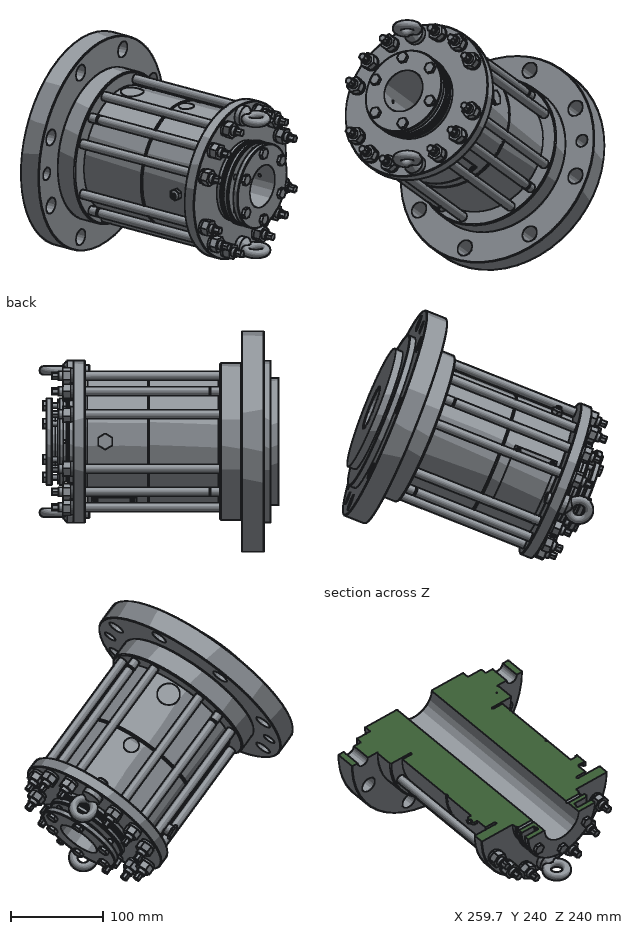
import cadquery as cq
import math


step_start = 8.3
flange_start = 15.5
hub_start = 40.0
hub_end = 63.5
barrel_start = 65.5
barrel_split = 140.2
barrel_end = 207.8
plate_start = 210.0
plate_end = 223.0
gland_foot_end = 227.2
gland_neck_start = 229.0
gland_neck_end = 231.0
seat_start = 234.0
seat_rim_end = 238.0
seat_end = 239.7
sleeve_step = 242.5
cover_start = 246.0
cover_end = 252.5

spigot_diameter = 138.2
step_diameter = 176.0
flange_diameter = 240.0
hub_diameter = 171.0
barrel_diameter = 141.3
barrel_neck_diameter = 114.3
split_groove_diameter = 138.7
split_groove_width = 2.0
plate_diameter = 176.5
gland_foot_diameter = 89.9
gland_body_diameter = 88.0
gland_neck_diameter = 86.2
seat_rim_diameter = 94.5
seat_diameter = 91.5
sleeve_diameter = 57.1
sleeve_end_diameter = 55.0
cover_diameter = 94.5
edge_chamfer = 0.8
hub_chamfer = 1.3

bore_diameter = 47.8
bore_chamfer = 1.0
flange_hole_circle = 209.5
flange_hole_diameter = 18.0
flange_hole_count = 8
jack_hole_diameter = 14.0
flush_hole_diameter = 3.0
flush_hole_x = 232.2

rod_circle = 154.5
rod_diameter = 10.0
rod_end = 239.5
rod_tip_length = 6.8
rod_tip_flats = 6.8
rod_chamfer = 0.8
joint_x = 73.5
joint_width = 1.8
joint_diameter = 9.0
washer_diameter = 16.0
washer_thickness = 2.9
nut_flats = 15.5
nut_height = 8.3
outer_rod_angle = 22.5
outer_nut_turn = -3.0
outer_tip_turn = -15.0
diagonal_rod_angle = 45.0
diagonal_nut_turn = 30.0
diagonal_tip_turn = 0.0

gland_bolt_circle = 78.0
gland_bolt_diameter = 6.0
gland_bolt_count = 6
gland_head_flats = 10.6
gland_head_height = 3.6

overall_length = 259.7
eye_pitch_diameter = 22.0
eye_bar_diameter = 9.5
eye_collar_diameter = 22.0
eye_collar_end = 229.3
eye_cone_end = 235.3
eye_stud_diameter = 12.0
eye_stud_start = 205.2

fitting_x = 188.3
plug_reach = 80.5
plug_head_flats = 15.0
plug_head_height = 2.5
plug_stem_diameter = 12.5
nipple_flats = 11.2
nipple_hex_reach = 74.8
nipple_reach = 78.7
nipple_tip_diameter = 6.0
nipple_cone_height = 2.0
nipple_bore_diameter = 3.0
nipple_bore_depth = 4.0
port_cover_height = 0.3
ports = [(80.5, 25.0), (152.0, 17.0)]

name_plate_start = 154.3
name_plate_end = 203.0
name_plate_width = 73.8
name_plate_thickness = 0.8
rivet_diameter = 5.0
rivet_bore_diameter = 2.5
rivet_height = 1.3
rivet_inset = 4.5
rivet_angle = 28.0


def cylinder(x_start, x_end, diameter, y=0.0, z=0.0):
    """Cylinder parallel to X."""
    plane = cq.Workplane("YZ", origin=(x_start, y, z))
    return plane.circle(diameter / 2).extrude(x_end - x_start)


def hexagon(plane, flats, height):
    """Hexagonal prism with one corner along the plane's local x."""
    return plane.polygon(6, flats / math.cos(math.pi / 6)).extrude(height)


def hexagon_along_x(x_start, height, flats, turn=0.0):
    """Hexagonal prism on the X axis, one corner turned from -Y toward +Z by the angle."""
    prism = hexagon(cq.Workplane("YZ", origin=(x_start, 0, 0)), flats, height)
    return prism.rotate((0, 0, 0), (1, 0, 0), -turn)


def around_axis(shape, angles):
    """Copies of a shape turned about X from -Y toward +Z."""
    return [shape.rotate((0, 0, 0), (1, 0, 0), -angle) for angle in angles]


def turned_body():
    body = cylinder(0, flange_start, spigot_diameter)
    step = cylinder(step_start, flange_start, step_diameter)
    body = body.union(step.faces("<X").chamfer(edge_chamfer))
    flange = cylinder(flange_start, hub_start, flange_diameter)
    body = body.union(flange.faces("<X or >X").chamfer(edge_chamfer))
    hub = cylinder(hub_start, hub_end, hub_diameter)
    body = body.union(hub.faces("<X or >X").chamfer(hub_chamfer))
    body = body.union(cylinder(hub_end, plate_start, barrel_neck_diameter))
    body = body.union(cylinder(barrel_start, barrel_split, barrel_diameter))
    groove_end = barrel_split + split_groove_width
    body = body.union(cylinder(barrel_split, groove_end, split_groove_diameter))
    body = body.union(cylinder(groove_end, barrel_end, barrel_diameter))
    plate = cylinder(plate_start, plate_end, plate_diameter)
    return body.union(plate.faces("<X or >X").chamfer(edge_chamfer))


def gland():
    stages = [
        (plate_end, gland_foot_end, gland_foot_diameter),
        (gland_foot_end, gland_neck_start, gland_body_diameter),
        (gland_neck_start, gland_neck_end, gland_neck_diameter),
        (gland_neck_end, seat_start, gland_body_diameter),
        (seat_start, seat_rim_end, seat_rim_diameter),
        (seat_rim_end, seat_end, seat_diameter),
        (seat_end, sleeve_step, sleeve_diameter),
        (sleeve_step, cover_start, sleeve_end_diameter),
    ]
    cover = cylinder(cover_start, cover_end, cover_diameter)
    body = cover.faces("<X or >X").chamfer(edge_chamfer)
    for x_start, x_end, diameter in stages:
        body = body.union(cylinder(x_start, x_end, diameter))
    return body


def gland_bolts():
    shank = cylinder(plate_end, cover_end, gland_bolt_diameter)
    bolt = shank.union(hexagon_along_x(cover_end, gland_head_height, gland_head_flats))
    spacing = 360 / gland_bolt_count
    bolts = []
    for index in range(gland_bolt_count):
        angle = math.radians(90 + index * spacing)
        radius = gland_bolt_circle / 2
        bolts.append(bolt.translate((0, radius * math.cos(angle), radius * math.sin(angle))))
    return bolts


def tie_rod(angle, nut_turn, tip_turn):
    """Tie rod with washer, nut and hexagonal tip, set on the rod circle at an angle from -Y."""
    rod = cylinder(hub_end, rod_end, rod_diameter).faces(">X").chamfer(rod_chamfer)
    rod = rod.union(cylinder(plate_end, plate_end + washer_thickness, washer_diameter))
    rod = rod.union(hexagon_along_x(plate_end + washer_thickness, nut_height, nut_flats, nut_turn))
    rod = rod.union(hexagon_along_x(rod_end, rod_tip_length, rod_tip_flats, tip_turn))
    radius = rod_circle / 2
    y = -radius * math.cos(math.radians(angle))
    z = radius * math.sin(math.radians(angle))
    return rod.translate((0, y, z))


def joint_groove():
    """Shallow ring that marks the screwed joint of a diagonal rod."""
    ring = cylinder(joint_x, joint_x + joint_width, 2 * rod_diameter - joint_diameter)
    ring = ring.cut(cylinder(joint_x, joint_x + joint_width, joint_diameter))
    offset = rod_circle / 2 * math.cos(math.radians(diagonal_rod_angle))
    return ring.translate((0, -offset, offset))


def eyebolt():
    """Lifting eyebolt above the axis, with its ring flat in the XY direction."""
    z = rod_circle / 2
    eye_x = overall_length - (eye_pitch_diameter + eye_bar_diameter) / 2
    ring = cq.Workplane(cq.Solid.makeTorus(
        eye_pitch_diameter / 2, eye_bar_diameter / 2, cq.Vector(eye_x, 0, z), cq.Vector(0, 0, 1)))
    stud = cylinder(eye_stud_start, plate_end, eye_stud_diameter, z=z).faces("<X").chamfer(edge_chamfer)
    collar = cylinder(plate_end, eye_collar_end, eye_collar_diameter, z=z)
    cone = cq.Workplane(cq.Solid.makeCone(
        eye_collar_diameter / 2, eye_bar_diameter / 2, eye_cone_end - eye_collar_end,
        cq.Vector(eye_collar_end, 0, z), cq.Vector(1, 0, 0)))
    return ring.union(cone).union(collar).union(stud)


def plug():
    """Hexagon-headed plug on the +Y side of the barrel."""
    inner = barrel_neck_diameter / 2
    head_start = plug_reach - plug_head_height
    stem_plane = cq.Workplane(cq.Plane((fitting_x, inner, 0), (0, 0, -1), (0, 1, 0)))
    head_plane = cq.Workplane(cq.Plane((fitting_x, head_start, 0), (0, 0, -1), (0, 1, 0)))
    stem = stem_plane.circle(plug_stem_diameter / 2).extrude(head_start - inner)
    return stem.union(hexagon(head_plane, plug_head_flats, plug_head_height))


def nipple():
    """Drilled nipple with a hexagonal base on the -Y side of the barrel."""
    inner = barrel_neck_diameter / 2

    def plane_at(reach):
        return cq.Workplane(cq.Plane((fitting_x, -reach, 0), (0, 0, 1), (0, -1, 0)))

    body = hexagon(plane_at(inner), nipple_flats, nipple_hex_reach - inner)
    cone = cq.Solid.makeCone(
        nipple_flats / 2, nipple_tip_diameter / 2, nipple_cone_height,
        cq.Vector(fitting_x, -nipple_hex_reach, 0), cq.Vector(0, -1, 0))
    tip = plane_at(nipple_hex_reach).circle(nipple_tip_diameter / 2).extrude(nipple_reach - nipple_hex_reach)
    bore_start = nipple_reach - nipple_bore_depth
    bore = plane_at(bore_start).circle(nipple_bore_diameter / 2).extrude(nipple_bore_depth)
    return body.union(cq.Workplane(cone)).union(tip).cut(bore)


def barrel_shell(thickness):
    """Thin sleeve that hugs the outside of the barrel."""
    sleeve = cylinder(barrel_start, barrel_end, barrel_diameter + 2 * thickness)
    return sleeve.cut(cylinder(barrel_start, barrel_end, barrel_neck_diameter))


def port_covers():
    """Round port covers on top of the barrel that follow its curve."""
    centres = cq.Workplane("XY")
    covers = []
    for x, diameter in ports:
        column = centres.center(x, 0).circle(diameter / 2).extrude(barrel_diameter)
        covers.append(barrel_shell(port_cover_height).intersect(column))
    return covers


def name_plate():
    """Curved name plate under the barrel, held by four drilled rivets."""
    length = name_plate_end - name_plate_start
    middle = (name_plate_start + name_plate_end) / 2
    block = cq.Workplane("XY").center(middle, 0).rect(length, name_plate_width).extrude(-barrel_diameter)
    pieces = [barrel_shell(name_plate_thickness).intersect(block)]
    seat = barrel_diameter / 2 - rivet_height
    height = 2 * rivet_height + name_plate_thickness
    for x in (name_plate_start + rivet_inset, name_plate_end - rivet_inset):
        base = cq.Workplane("XY", origin=(x, 0, -seat))
        rivet = base.circle(rivet_diameter / 2).extrude(-height)
        rivet = rivet.faces("<Z").workplane().hole(rivet_bore_diameter, rivet_height)
        for angle in (-rivet_angle, rivet_angle):
            pieces.append(rivet.rotate((0, 0, 0), (1, 0, 0), angle))
    return pieces


def bore():
    hole = cylinder(0, overall_length, bore_diameter)
    countersink = cq.Solid.makeCone(
        bore_diameter / 2 + bore_chamfer, bore_diameter / 2, bore_chamfer,
        cq.Vector(0, 0, 0), cq.Vector(1, 0, 0))
    return hole.union(cq.Workplane(countersink))


def flange_holes():
    radius = flange_hole_circle / 2
    plane = cq.Workplane("YZ", origin=(flange_start, 0, 0))
    first_angle = 180 / flange_hole_count
    holes = plane.polarArray(radius, first_angle, 360, flange_hole_count).circle(flange_hole_diameter / 2)
    holes = holes.extrude(hub_start - flange_start)
    jacks = plane.pushPoints([(-radius, 0), (radius, 0)]).circle(jack_hole_diameter / 2)
    return holes.union(jacks.extrude(hub_start - flange_start))


def flush_hole():
    """Small cross hole through the gland along Y."""
    plane = cq.Workplane("XZ", origin=(flush_hole_x, 0, 0))
    return plane.circle(flush_hole_diameter / 2).extrude(gland_body_diameter, both=True)


eighth_turns = [45 * index for index in range(8)]
quarter_turns = [90 * index for index in range(4)]

outer_rod = tie_rod(outer_rod_angle, outer_nut_turn, outer_tip_turn)
diagonal_rod = tie_rod(diagonal_rod_angle, diagonal_nut_turn, diagonal_tip_turn)

parts = [gland(), plug(), nipple()]
parts += gland_bolts()
parts += around_axis(outer_rod, eighth_turns)
parts += around_axis(diagonal_rod, quarter_turns)
parts += around_axis(eyebolt(), [0, 180])
parts += port_covers()
parts += name_plate()

result = turned_body()
for part in parts:
    result = result.union(part)
for groove in around_axis(joint_groove(), quarter_turns):
    result = result.cut(groove)
result = result.cut(bore()).cut(flange_holes()).cut(flush_hole())